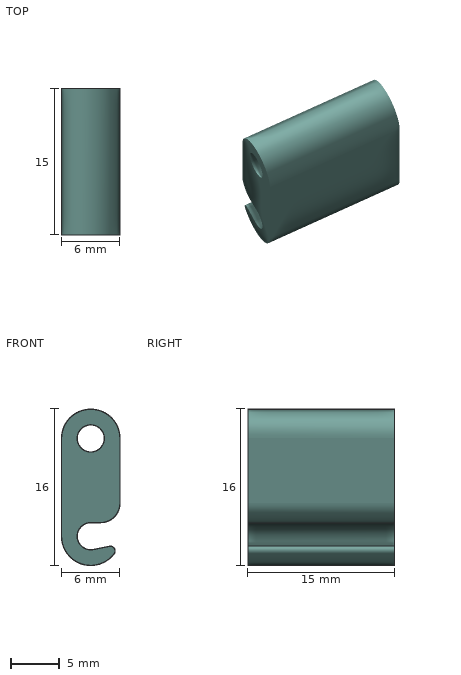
import cadquery as cq
import math

height = 15.99
width = 6.0
length = 15.0
bore_diameter = 2.75
shoulder_radius = 2.0
tip_radius = 0.5
tip_center_x = 2.0

end_radius = width / 2
bore_radius = bore_diameter / 2
bore_center_z = height - width

tip_center_distance = end_radius - tip_radius
tip_angle = -math.acos(tip_center_x / tip_center_distance)
tip_center = (tip_center_x, tip_center_distance * math.sin(tip_angle))

ramp_angle = tip_angle + math.asin((bore_radius + tip_radius) / tip_center_distance)
ramp_normal = ramp_angle + math.pi / 2


def on_circle(center, radius, angle):
    """Point on a circle at an angle in radians from +X."""
    return (center[0] + radius * math.cos(angle), center[1] + radius * math.sin(angle))


hook_center = (0, 0)
shoulder_center = (end_radius - shoulder_radius, bore_radius + shoulder_radius)
ramp_start = on_circle(hook_center, bore_radius, ramp_normal - math.pi)
ramp_end = on_circle(tip_center, tip_radius, ramp_normal)
tip_middle = on_circle(tip_center, tip_radius, (ramp_normal + tip_angle) / 2)
tip_end = on_circle(hook_center, end_radius, tip_angle)
outer_middle = on_circle(hook_center, end_radius, (tip_angle - math.pi) / 2)
shoulder_middle = on_circle(shoulder_center, shoulder_radius, -math.pi / 4)

link = (
    cq.Workplane("XZ")
    .moveTo(-end_radius, 0)
    .lineTo(-end_radius, bore_center_z)
    .threePointArc((0, bore_center_z + end_radius), (end_radius, bore_center_z))
    .lineTo(end_radius, shoulder_center[1])
    .threePointArc(shoulder_middle, (shoulder_center[0], bore_radius))
    .lineTo(0, bore_radius)
    .threePointArc((-bore_radius, 0), ramp_start)
    .lineTo(*ramp_end)
    .threePointArc(tip_middle, tip_end)
    .threePointArc(outer_middle, (-end_radius, 0))
    .close()
    .extrude(-length)
)

pin_bore = cq.Workplane("XZ").center(0, bore_center_z).circle(bore_radius).extrude(-length)

result = link.cut(pin_bore)